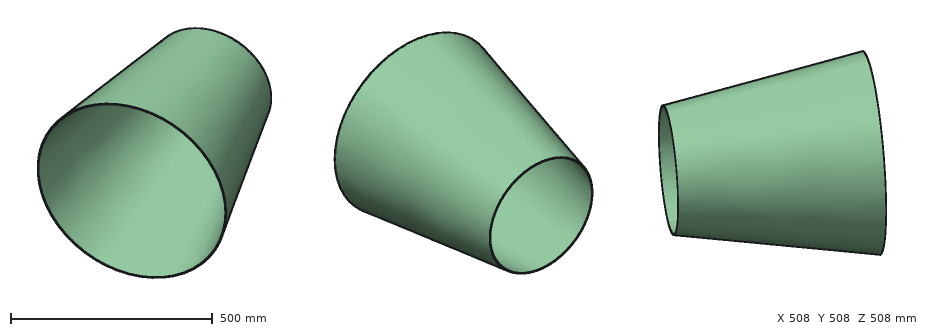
import cadquery as cq

length = 508.0
large_diameter = 508.0
small_diameter = 324.0
wall = 3.0

large_radius = large_diameter / 2
small_radius = small_diameter / 2

wall_section = (
    cq.Workplane("XY")
    .moveTo(large_radius - wall, -length / 2)
    .lineTo(large_radius, -length / 2)
    .lineTo(small_radius, length / 2)
    .lineTo(small_radius - wall, length / 2)
    .close()
)

result = wall_section.revolve(360, (0, 0, 0), (0, 1, 0))